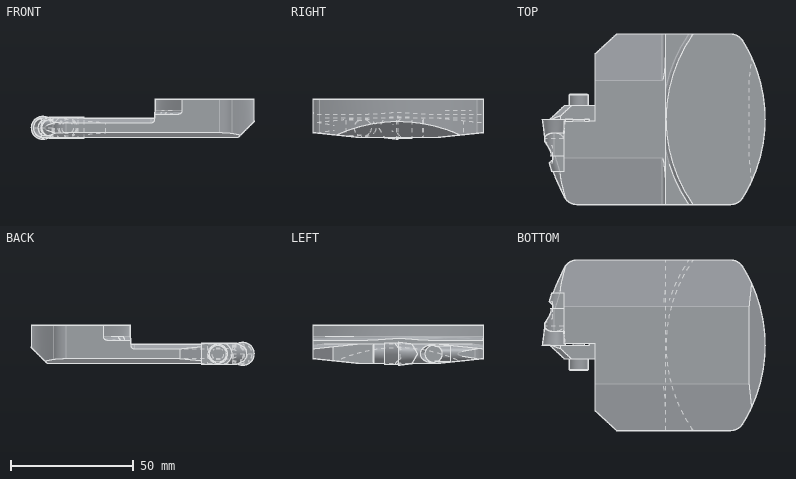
import cadquery as cq
import math


half_width = 35.0
half_thickness = 4.02
edge_half_thickness = 2.0
bevel_start_y = 15.8
top_z = 11.75
floor_z = 5.55
right_x = 86.58
corner_radius = 6.0
right_chamfer = 6.6
shoulder_x = 16.75
shoulder_chamfer_x = 9.0
shoulder_chamfer_y = 8.3
notch_y = -0.7
front_wall_x = 4.25
front_corner_radius = 6.0

pad_arc_radius = 60.8
pad_left_x = 46.0
pad_foot_radius = 1.5
step_wall_x = 45.8
groove_radius = 1.5

insert_diameter = 9.525
insert_radius = insert_diameter / 2
insert_height = 7.94
insert_relief = math.radians(7)
insert_vee_half_angle = math.radians(60)

nose_x = 0.15
nose_radius = 3.95
neck_start = (0.5, -15.1)
neck_end = (2.45, -21.4)
neck_radius = 3.17
tail_start = (3.4, -21.4)
tail_radius = 3.5
tail_angle = math.radians(21)
tail_length = 14.0
tip_face_top = (0.94, -24.7)
tip_face_angle = math.radians(25)

outlet_diameter = 7.0
outlet_mouth_diameter = 9.2
outlet_y = -14.5
outlet_bottom_x = -0.5
outlet_mouth_x = -4.2

clamp_half_height = 4.43
clamp_back_y = 5.7
clamp_tip_x = -1.65
clamp_slope_x = 4.4
clamp_edge_radius = 5.9
clamp_tip_bevel_x = 2.7
clamp_tip_bevel_angle = math.radians(27)
clamp_foot_x = 14.4
screw_x = 10.15
screw_head_diameter = 7.9
screw_head_top_y = 10.4
screw_head_chamfer = 0.5
screw_shank_diameter = 4.83

margin = 10.0


def box_between(low, high):
    size = [b - a for a, b in zip(low, high)]
    return cq.Workplane("XY").box(*size, centered=False).translate(low)


def cylinder_along_y(radius, x, start_y, end_y):
    """Cylinder parallel to Y, at mid-thickness."""
    axis = cq.Vector(0, 1, 0)
    return cq.Workplane(cq.Solid.makeCylinder(radius, end_y - start_y, cq.Vector(x, start_y, 0), axis))


def blade_block():
    """Full-height block with the plan outline of the blade."""
    arc_centre_x = right_x - pad_arc_radius
    arc_end_x = arc_centre_x + math.sqrt(pad_arc_radius**2 - half_width**2)
    tip_x = tip_face_top[0] + (half_width + tip_face_top[1]) * math.tan(tip_face_angle)
    nose_left_x = nose_x - nose_radius
    height = top_z + half_thickness
    block = (
        cq.Workplane("XY", origin=(0, 0, -half_thickness))
        .moveTo(tip_x, -half_width)
        .lineTo(arc_end_x, -half_width)
        .threePointArc((right_x, 0), (arc_end_x, half_width))
        .lineTo(shoulder_x + shoulder_chamfer_x, half_width)
        .lineTo(shoulder_x, half_width - shoulder_chamfer_y)
        .lineTo(shoulder_x, notch_y)
        .lineTo(nose_left_x, notch_y)
        .lineTo(nose_left_x, tip_face_top[1] + (tip_face_top[0] - nose_left_x) / math.tan(tip_face_angle))
        .close()
        .extrude(height)
    )
    for y in (-half_width, half_width):
        block = block.edges(cq.NearestToPointSelector((arc_end_x, y, height / 2))).fillet(corner_radius)
    return block.edges(cq.NearestToPointSelector((tip_x, -half_width, height / 2))).fillet(front_corner_radius)


def raised_pad():
    """Pad above the floor, its left arc flaring into the floor with a concave foot."""
    centre_x = pad_left_x + pad_arc_radius
    foot_top_z = floor_z + pad_foot_radius
    foot_mid = pad_foot_radius * (1 - math.sqrt(0.5))
    return (
        cq.Workplane("XZ")
        .moveTo(centre_x, floor_z)
        .lineTo(pad_left_x - pad_foot_radius, floor_z)
        .threePointArc((pad_left_x - foot_mid, floor_z + foot_mid), (pad_left_x, foot_top_z))
        .lineTo(pad_left_x, top_z)
        .lineTo(centre_x, top_z)
        .close()
        .revolve(360, (centre_x, 0), (centre_x, 1))
    )


def bottom_bevel():
    """Wedge removed under the +Y side of the blade."""
    return (
        cq.Workplane("YZ", origin=(-margin, 0, 0))
        .polyline([
            (bevel_start_y, -half_thickness),
            (half_width, -edge_half_thickness),
            (half_width, -half_thickness),
        ])
        .close()
        .extrude(right_x + 2 * margin)
    )


def top_bevel():
    """Sloping cut over the +Y side, ending in a rounded groove at the step wall."""
    drop = half_thickness - edge_half_thickness
    run = half_width - bevel_start_y
    slope = cq.Plane((0, bevel_start_y, half_thickness), (1, 0, 0), (0, -run, drop))
    corner = groove_radius * (1 - math.sqrt(0.5))
    return (
        cq.Workplane(slope)
        .moveTo(-margin, 0)
        .lineTo(step_wall_x - groove_radius, 0)
        .threePointArc((step_wall_x - corner, corner), (step_wall_x, groove_radius))
        .lineTo(step_wall_x, margin)
        .lineTo(-margin, margin)
        .close()
        .extrude(-run - margin)
    )


def shaped_blade():
    """Stepped, bevelled blade; its nose still has square edges."""
    far = right_x + margin
    below = box_between((-margin, -half_width, -half_thickness), (far, half_width, floor_z))
    blade = blade_block().intersect(below.union(raised_pad()))
    blade = blade.cut(box_between((-margin, -half_width, half_thickness), (step_wall_x, half_width, top_z)))
    for bevel in (bottom_bevel(), top_bevel()):
        blade = blade.cut(bevel).cut(bevel.mirror("XZ"))
    chamfer = (
        cq.Workplane("XZ", origin=(0, half_width, 0))
        .polyline([
            (right_x - right_chamfer, -half_thickness),
            (right_x, right_chamfer - half_thickness),
            (right_x, -half_thickness),
        ])
        .close()
        .extrude(2 * half_width)
    )
    return blade.cut(chamfer)


def round_bar(start, end, radius):
    """Round bar between two points of the mid-plane."""
    run = cq.Vector(end[0] - start[0], end[1] - start[1], 0)
    return cq.Workplane(cq.Solid.makeCylinder(radius, run.Length, cq.Vector(*start, 0), run))


def nose_section(start, end, radius):
    """Bar from start to end with a slab of the same thickness back to the front wall, square across Y."""
    slab = (
        cq.Workplane("XY", origin=(0, 0, -radius))
        .polyline([start, end, (front_wall_x, end[1]), (front_wall_x, start[1])])
        .close()
        .extrude(2 * radius)
    )
    overrun = tuple(2 * b - a for a, b in zip(start, end))
    underrun = tuple(2 * a - b for a, b in zip(start, end))
    bar = round_bar(underrun, overrun, radius)
    limits = box_between((-margin, end[1], -margin), (front_wall_x, start[1], margin))
    return bar.intersect(limits).union(slab)


def outlet():
    """Flat-bottomed coolant outlet, flaring on its +Y side only."""
    mouth_shift = (outlet_mouth_diameter - outlet_diameter) / 2
    return (
        cq.Workplane("YZ", origin=(outlet_bottom_x, 0, 0))
        .center(outlet_y, 0)
        .circle(outlet_diameter / 2)
        .workplane(offset=outlet_mouth_x - outlet_bottom_x)
        .center(mouth_shift, 0)
        .circle(outlet_mouth_diameter / 2)
        .loft(ruled=True)
    )


def above_insert_back():
    """Everything in front of the front wall on the +Y side of the V-shaped insert back."""
    vee_depth = margin / math.tan(insert_vee_half_angle)
    return (
        cq.Workplane("YZ", origin=(-margin, 0, 0))
        .polyline([
            (-insert_height, 0),
            (vee_depth - insert_height, margin),
            (margin, margin),
            (margin, -margin),
            (vee_depth - insert_height, -margin),
        ])
        .close()
        .extrude(margin + front_wall_x)
    )


def insert_cone():
    """Round insert, tapering towards -Y, before its back is cut to a V."""
    back_radius = insert_radius - insert_height * math.tan(insert_relief)
    axis = cq.Vector(0, -1, 0)
    return cq.Workplane(cq.Solid.makeCone(insert_radius, back_radius, insert_height, cq.Vector(0, 0, 0), axis))


def round_insert():
    """Insert cone with its back cut to a V whose ridge runs along X."""
    vee = above_insert_back()
    vee = vee.union(vee.translate((margin, 0, 0)))
    return insert_cone().intersect(vee)


def clamp():
    """Clamp arm with a sloping rounded front edge and a foot at its back end."""
    outline = (
        cq.Workplane("XY", origin=(0, 0, -clamp_half_height))
        .polyline([
            (clamp_tip_x, 0),
            (clamp_slope_x, clamp_back_y),
            (shoulder_x, clamp_back_y),
            (shoulder_x, notch_y),
            (clamp_foot_x, notch_y),
            (clamp_foot_x, 0),
        ])
        .close()
        .extrude(2 * clamp_half_height)
    )
    rise = cq.Vector(clamp_slope_x - clamp_tip_x, clamp_back_y, 0)
    inward = cq.Vector(rise.y, -rise.x, 0).normalized() * clamp_edge_radius
    axis_start = cq.Vector(clamp_tip_x, 0, 0) + inward - rise
    axis_end = axis_start + rise * 3
    rounding = cq.Workplane(cq.Solid.makeCylinder(clamp_edge_radius, 3 * rise.Length, axis_start, rise))
    body = (
        cq.Workplane("XY", origin=(0, 0, -clamp_half_height))
        .polyline([
            (axis_start.x, axis_start.y),
            (axis_end.x, axis_end.y),
            (shoulder_x + margin, axis_end.y),
            (shoulder_x + margin, axis_start.y),
        ])
        .close()
        .extrude(2 * clamp_half_height)
    )
    bevel_end_x = clamp_tip_bevel_x - margin
    bevel_drop = margin * math.tan(clamp_tip_bevel_angle)
    tip_bevel = (
        cq.Workplane("XZ", origin=(0, clamp_back_y, 0))
        .polyline([
            (clamp_tip_bevel_x, clamp_half_height),
            (bevel_end_x, clamp_half_height - bevel_drop),
            (bevel_end_x, clamp_half_height),
        ])
        .close()
        .extrude(clamp_back_y)
    )
    arm = outline.intersect(rounding.union(body))
    return arm.cut(tip_bevel).cut(tip_bevel.mirror("XY"))


def screw():
    """Clamp screw: chamfered head behind the clamp and shank across the gap to the blade."""
    head = cylinder_along_y(screw_head_diameter / 2, screw_x, clamp_back_y, screw_head_top_y)
    head = head.faces(">Y").edges().chamfer(screw_head_chamfer)
    return head.union(cylinder_along_y(screw_shank_diameter / 2, screw_x, notch_y, clamp_back_y))


def tail_end():
    return (
        tail_start[0] + tail_length * math.sin(tail_angle),
        tail_start[1] - tail_length * math.cos(tail_angle),
    )


def nose_area():
    """Part of the blade that the rounded nose replaces."""
    return (
        cq.Workplane("XY", origin=(0, 0, -margin))
        .polyline([
            (-margin, notch_y),
            (front_wall_x, notch_y),
            (front_wall_x, tail_start[1]),
            tail_start,
            tail_end(),
            (-margin, tail_end()[1]),
        ])
        .close()
        .extrude(2 * margin)
    )


def nose(blade):
    """Straight nose, narrower slanted neck, and a tail that fades into the front face of the blade."""
    straight = nose_section((nose_x, notch_y), (nose_x, neck_start[1]), nose_radius)
    neck = nose_section(neck_start, neck_end, neck_radius)
    tail_lead = tuple(2 * a - b for a, b in zip(tail_start, tail_end()))
    tail_limits = box_between((-margin, tail_end()[1], -margin), (margin, tail_start[1], margin))
    tail = round_bar(tail_lead, tail_end(), tail_radius).intersect(tail_limits)
    tail = tail.intersect(nose_area()).intersect(blade)
    return straight.union(neck).union(tail)


def holder():
    """Blade, nose, clamp and clamp screw as one solid, with the seat of the insert cut into the nose."""
    blade = shaped_blade()
    body = blade.cut(nose_area()).union(nose(blade))
    body = body.cut(outlet()).cut(above_insert_back()).cut(round_insert())
    return body.union(clamp()).union(screw())


result = cq.Compound.makeCompound([holder().solids().val(), round_insert().solids().val()])